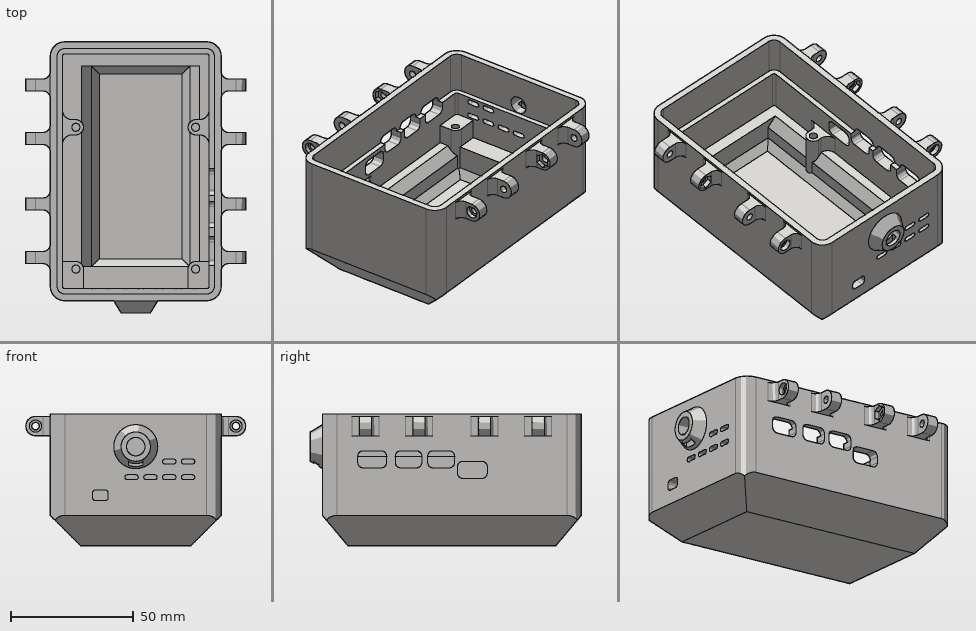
import cadquery as cq
import math

BOX_X = 70.0
BOX_Y = 106.0
BOX_Z = 54.0
CORNER_R = 6.0
BEVEL_Z = 12.5
BEVEL_X = 12.5
BEVEL_Y = 10.5

RIM_WALL = 2.8
LOWER_WALL = 5.0
LEDGE_Z = 36.6
SHELF_Z = 18.0
RIM_R = CORNER_R - RIM_WALL
LOWER_R = CORNER_R - LOWER_WALL
INNER_X = BOX_X / 2 - LOWER_WALL
INNER_Y = BOX_Y / 2 - LOWER_WALL

WELL_CENTER_X = 2.0
WELL_CENTER_Y = 2.0
WELL_MOUTH_X = 48.2
WELL_Y = 82.0
WELL_SLOPE = 4.0
WELL_X = WELL_MOUTH_X - 2 * WELL_SLOPE
FUNNEL_Z = 8.0
FUNNEL_DEPTH = 3.2
FUNNEL_IN_X = 3.2
FUNNEL_IN_Y = 3.2

BOSS_X = 24.5
BOSS_BACK_Y = 18.0
BOSS_FRONT_Y = -40.0
BOSS_R = 3.1
BOSS_TOP_Z = 26.3
BOSS_HOLE_D = 3.3
BOSS_HOLE_DEPTH = 8.0
BOSS_FLARE_R = 4.0

LUG_Y = (13.4, 35.3)
LUG_THICK = 5.0
LUG_R = 4.0
LUG_TIP_X = 45.0
LUG_Z = 49.0
LUG_FLARE_R = 3.0
LUG_HOLE_D = 3.0
LUG_PIN_X = LUG_TIP_X - LUG_R
SCREW_HEAD_D = 5.0
NUT_FLATS = 5.5
RECESS_DEPTH = 2.0

GLAND_Z = 40.6
GLAND_BASE_D = 18.0
GLAND_TIP_D = 12.0
GLAND_LENGTH = 5.0
GLAND_BORE_D = 7.54
TIE_SLOT_X = 6.0
TIE_SLOT_Y = 2.0
TIE_SLOT_OFFSET = 1.4

VENT_X = 5.5
VENT_Z = 2.0
VENT_PITCH = 7.7
VENT_FIRST_X = -1.7
VENT_ROWS = ((28.1, 0), (34.5, 2))
VENT_COLUMNS = 4
CABLE_PORT_WIDTH = 6.4
CABLE_PORT_HEIGHT = 4.4
CABLE_PORT_R = 1.3
CABLE_PORT_X = -14.5
CABLE_PORT_Z = 20.7

PORT_Z = 7.0
PORT_R = 2.2
PORTS = (
    (8.4, 27.6, 12.2),
    (-4.4, 31.9, 11.0),
    (-17.7, 31.9, 10.8),
    (-32.6, 31.9, 11.8),
)


def block(x0, x1, y0, y1, z0, z1):
    return cq.Workplane("XY").box(x1 - x0, y1 - y0, z1 - z0, centered=False).translate((x0, y0, z0))


def rounded_prism(size_x, size_y, radius, z0, z1):
    prism = cq.Workplane("XY", origin=(0, 0, z0)).rect(size_x, size_y).extrude(z1 - z0)
    return prism.edges("|Z").fillet(radius)


def beveled_profile(plane, size, bevel, length):
    """Rectangular section with both lower corners cut off, extruded over the length."""
    half = size / 2
    points = [
        (-half + bevel, 0),
        (half - bevel, 0),
        (half, BEVEL_Z),
        (half, BOX_Z),
        (-half, BOX_Z),
        (-half, BEVEL_Z),
    ]
    return cq.Workplane(plane).polyline(points).close().extrude(length / 2, both=True)


def outer_body():
    body = rounded_prism(BOX_X, BOX_Y, CORNER_R, 0, BOX_Z)
    body = body.intersect(beveled_profile("XZ", BOX_X, BEVEL_X, BOX_Y))
    return body.intersect(beveled_profile("YZ", BOX_Y, BEVEL_Y, BOX_X))


def well():
    mouth = WELL_MOUTH_X / 2
    half = WELL_X / 2
    section = [
        (-half, FUNNEL_Z),
        (half, FUNNEL_Z),
        (half, SHELF_Z - WELL_SLOPE),
        (mouth, SHELF_Z),
        (-mouth, SHELF_Z),
        (-half, SHELF_Z - WELL_SLOPE),
    ]
    shaft = cq.Workplane("XZ").polyline(section).close().extrude(WELL_Y / 2, both=True)
    funnel = (
        cq.Workplane("XY", origin=(0, 0, FUNNEL_Z))
        .rect(WELL_X, WELL_Y)
        .workplane(offset=-FUNNEL_DEPTH)
        .rect(WELL_X - 2 * FUNNEL_IN_X, WELL_Y - 2 * FUNNEL_IN_Y)
        .loft(ruled=True)
    )
    return shaft.union(funnel).translate((WELL_CENTER_X, WELL_CENTER_Y, 0))


def flared_tab(root_x, tip_x, half_width, flare_r, z0, z1):
    """Bar along X that widens with a concave arc on each side where it joins a wall at root_x."""
    toward_tip = 1 if tip_x > root_x else -1
    flare_x = root_x + toward_tip * flare_r
    arc_in = flare_r * (1 - math.sin(math.radians(45)))
    outline = (
        cq.Workplane("XY", origin=(0, 0, z0))
        .moveTo(root_x, -half_width - flare_r)
        .threePointArc((root_x + toward_tip * arc_in, -half_width - arc_in), (flare_x, -half_width))
        .lineTo(tip_x, -half_width)
        .lineTo(tip_x, half_width)
        .lineTo(flare_x, half_width)
        .threePointArc((root_x + toward_tip * arc_in, half_width + arc_in), (root_x, half_width + flare_r))
        .close()
    )
    return outline.extrude(z1 - z0)


def back_boss():
    round_end = cq.Workplane("XY").center(BOSS_X, 0).circle(BOSS_R).extrude(BOSS_TOP_Z)
    tab = flared_tab(INNER_X, BOSS_X, BOSS_R, BOSS_FLARE_R, 0, BOSS_TOP_Z)
    return tab.union(round_end).translate((0, BOSS_BACK_Y, 0))


def front_boss():
    boss = block(BOSS_X - BOSS_R, INNER_X, -INNER_Y, BOSS_FRONT_Y + BOSS_R, 0, BOSS_TOP_Z)
    return boss.edges("|Z and <X and >Y").fillet(BOSS_R)


def cavity():
    """Empty space inside the box, already reduced by the bosses standing in it."""
    space = rounded_prism(BOX_X - 2 * RIM_WALL, BOX_Y - 2 * RIM_WALL, RIM_R, LEDGE_Z, BOX_Z)
    space = space.union(rounded_prism(2 * INNER_X, 2 * INNER_Y, LOWER_R, SHELF_Z, LEDGE_Z))
    space = space.union(well())
    for boss in (back_boss(), front_boss()):
        space = space.cut(boss).cut(boss.mirror("YZ"))
    return space


def boss_holes():
    return (
        cq.Workplane("XY", origin=(0, 0, BOSS_TOP_Z))
        .pushPoints([(side * BOSS_X, y) for side in (-1, 1) for y in (BOSS_BACK_Y, BOSS_FRONT_Y)])
        .circle(BOSS_HOLE_D / 2)
        .extrude(-BOSS_HOLE_DEPTH)
    )


def lug():
    """One lug on the right side, centered on Y = 0, with its pin hole."""
    tab = flared_tab(BOX_X / 2, LUG_PIN_X, LUG_THICK / 2, LUG_FLARE_R, LUG_Z - LUG_R, LUG_Z + LUG_R)
    pin_axis = cq.Workplane("XZ", origin=(LUG_PIN_X, 0, LUG_Z))
    eye = pin_axis.circle(LUG_R).extrude(LUG_THICK / 2, both=True)
    hole = pin_axis.circle(LUG_HOLE_D / 2).extrude(LUG_THICK, both=True)
    return tab.union(eye).cut(hole)


def front_face_of_lug():
    return cq.Workplane("XZ", origin=(LUG_PIN_X, -LUG_THICK / 2, LUG_Z))


def lugs():
    """Nut recesses face the middle of the box, screw head recesses face its ends."""
    inner_y, outer_y = LUG_Y
    nut_across_corners = NUT_FLATS / math.cos(math.radians(30))
    nut = front_face_of_lug().transformed(rotate=(0, 0, 90)).polygon(6, nut_across_corners)
    head = front_face_of_lug().circle(SCREW_HEAD_D / 2)
    nut_lug = lug().cut(nut.extrude(-RECESS_DEPTH)).translate((0, inner_y, 0))
    head_lug = lug().cut(head.extrude(-RECESS_DEPTH)).translate((0, -outer_y, 0))
    placed = []
    for one in (nut_lug, head_lug):
        for right in (one, one.mirror("XZ")):
            placed += [right, right.mirror("YZ")]
    return placed


def gland():
    return (
        cq.Workplane("XZ", origin=(0, -BOX_Y / 2, GLAND_Z))
        .circle(GLAND_BASE_D / 2)
        .workplane(offset=GLAND_LENGTH)
        .circle(GLAND_TIP_D / 2)
        .loft()
    )


def gland_bore():
    length = GLAND_LENGTH + LOWER_WALL
    return cq.Workplane("XZ", origin=(0, -INNER_Y, GLAND_Z)).circle(GLAND_BORE_D / 2).extrude(length)


def tie_slot():
    """Slot for a cable tie, open below the gland and reaching up into its bore."""
    back = -BOX_Y / 2 - TIE_SLOT_OFFSET
    half = TIE_SLOT_X / 2
    return block(-half, half, back - TIE_SLOT_Y, back, GLAND_Z - GLAND_BASE_D / 2, GLAND_Z)


def front_openings():
    wall = cq.Workplane("XZ", origin=(0, -INNER_Y, 0))
    vents = [
        (VENT_FIRST_X + column * VENT_PITCH, z)
        for z, first in VENT_ROWS
        for column in range(first, VENT_COLUMNS)
    ]
    port = wall.center(CABLE_PORT_X, CABLE_PORT_Z).rect(CABLE_PORT_WIDTH, CABLE_PORT_HEIGHT)
    port = port.extrude(LOWER_WALL).edges("|Y").fillet(CABLE_PORT_R)
    return wall.pushPoints(vents).slot2D(VENT_X, VENT_Z).extrude(LOWER_WALL).union(port)


def side_port(middle_y, bottom_z, length):
    y0 = middle_y - length / 2
    port = block(INNER_X, BOX_X / 2, y0, y0 + length, bottom_z, bottom_z + PORT_Z)
    return port.edges("|X").fillet(PORT_R)


result = outer_body().cut(cavity()).union(gland())
for one_lug in lugs():
    result = result.union(one_lug)
result = result.cut(gland_bore()).cut(tie_slot()).cut(front_openings()).cut(boss_holes())
for port_size in PORTS:
    result = result.cut(side_port(*port_size))